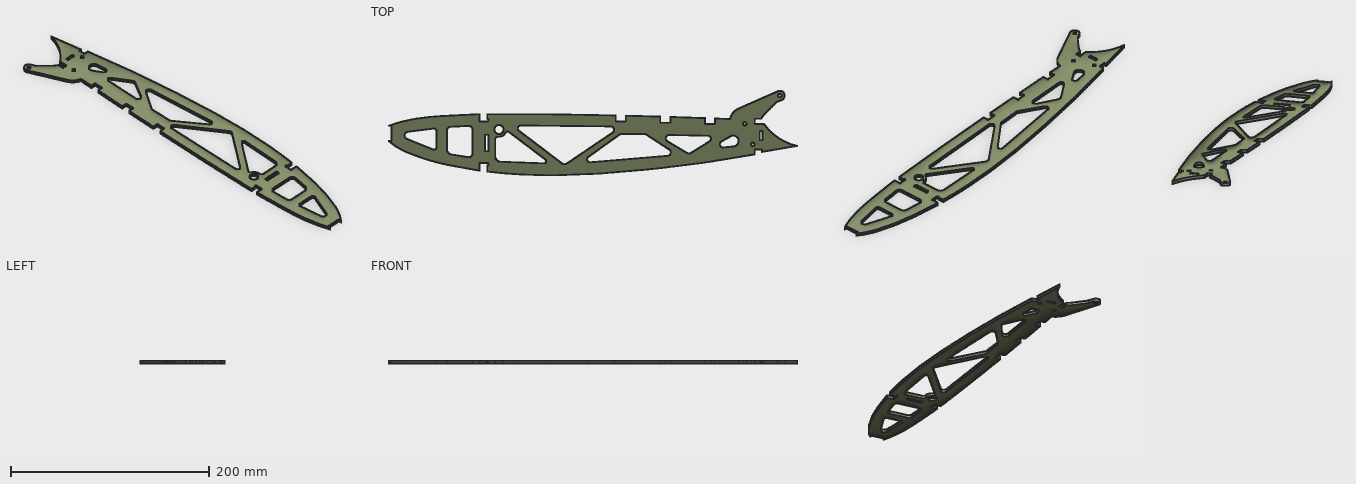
import cadquery as cq
import math

length = 412.0
thickness = 3.0

nose_top = 50.0
nose_bottom = 34.5
nose_depth = 3.0

back_height = 61.8
nose_back = [(15.5, 54.8), (51.5, 59.7)]
body_back = [(179.0, 61.5), (272.2, 59.5)]
body_belly = [(321.2, 13.0), (276.0, 7.5), (212.5, 1.5), (158.5, 0.0)]
nose_belly = [(47.8, 13.0), (28.0, 19.5), (7.0, 29.2)]

front_notch_left = 92.0
front_notch_right = front_notch_left + 7.5
front_notch_floor = 54.5
front_notch_ceiling = 12.5
belly_left_of_notch = 4.5
belly_right_of_notch = 3.7
relief_radius = 1.2

back_notch_count = 3
back_notch_start = 229.0
back_notch_pitch = 45.0
back_notch_width = 10.0
back_notch_floor = 54.5
back_notch_floor_drop = 1.2
notch_cut_height = 12.5

fin_root = (344.0, 57.0)
fin_root_bend = (347.5, 64.0)
fin_shoulder = (353.0, 67.5)
fin_eye = (394.0, 80.5)
fin_eye_radius = 5.0
fin_eye_start_angle = 112
fin_eye_end_angle = -60
fin_neck = (391.0, 73.7)
fin_heel = (378.0, 61.0)

tail_slot_left = 369.0
tail_slot_right = 375.0
tail_slot_top = 57.0
tail_slot_bottom = 52.0
lower_fin_top = (378.0, tail_slot_bottom)
lower_fin_bend = (391.3, 38.7)
tail_tip = (length, 29.5)
tail_notch_left = tail_slot_left
tail_notch_right = 376.0
tail_notch_top = 26.0
lower_fin_heel_height = 23.5
belly_end_height = 21.0

pivot = (111.0, 46.0)
pivot_radius = 4.5
pivot_wall_radius = 7.5
pivot_wall_end_angle = math.radians(-4)
pivot_pocket_lower_left = (107.5, 14.0)
pivot_pocket_lower_right = (163.0, 12.0)
wall_start_radius = 2.5
pocket_tip_radius = 2.0
pocket_heel_radius = 5.5

truss_pockets = [
    [(5.5, 42.0, 3.7), (48.0, 47.5, 2.5), (48.0, 24.7, 2.5)],
    [(59.0, 48.5, 3.7), (84.5, 50.0, 3.7), (84.5, 17.7, 3.7), (59.0, 22.0, 5.0)],
    [(124.5, 50.2, 3.0), (234.5, 49.0, 3.5), (177.0, 10.5, 4.5)],
    [(192.7, 12.5, 3.0), (233.5, 41.5, 3.5), (258.5, 41.5, 3.5), (290.8, 20.5, 3.5)],
    [(270.0, 40.8, 3.5), (331.5, 39.5, 3.0), (302.7, 21.5, 4.0)],
]

tapered_slot_small_centre = (337.0, 31.5)
tapered_slot_small_radius = 3.1
tapered_slot_large_centre = (347.0, 34.5)
tapered_slot_large_radius = 5.5

tab_slots = [(97.0, 24.5, 100.5, 40.8), (374.0, 35.5, 376.5, 44.5)]
small_holes = [(358.7, 52.0), (367.0, 31.5), fin_eye]
small_hole_radius = 1.5


def on_circle(centre, radius, angle):
    """Point on a circle at an angle in radians."""
    return (centre[0] + radius * math.cos(angle), centre[1] + radius * math.sin(angle))


def plate_blank():
    """Solid plate with the outer outline, drawn clockwise from the upper nose lip."""
    eye_start = on_circle(fin_eye, fin_eye_radius, math.radians(fin_eye_start_angle))
    eye_side = on_circle(fin_eye, fin_eye_radius, 0)
    eye_end = on_circle(fin_eye, fin_eye_radius, math.radians(fin_eye_end_angle))
    outline = cq.Workplane("XY").moveTo(0, nose_top)
    outline = (
        outline.spline([*nose_back, (front_notch_left, back_height)], includeCurrent=True)
        .lineTo(front_notch_left, front_notch_floor)
        .lineTo(front_notch_right, front_notch_floor)
        .lineTo(front_notch_right, back_height)
        .spline([*body_back, fin_root], includeCurrent=True)
    )
    outline = (
        outline.threePointArc(fin_root_bend, fin_shoulder)
        .lineTo(*eye_start)
        .threePointArc(eye_side, eye_end)
        .lineTo(*fin_neck)
        .lineTo(*fin_heel)
        .lineTo(tail_slot_right, tail_slot_top)
        .lineTo(tail_slot_left, tail_slot_top)
    )
    outline = (
        outline.lineTo(tail_slot_left, tail_slot_bottom)
        .lineTo(*lower_fin_top)
        .threePointArc(lower_fin_bend, tail_tip)
        .lineTo(tail_notch_right, lower_fin_heel_height)
        .lineTo(tail_notch_right, tail_notch_top)
        .lineTo(tail_notch_left, tail_notch_top)
        .lineTo(tail_notch_left, belly_end_height)
    )
    outline = (
        outline.spline([*body_belly, (front_notch_right, belly_right_of_notch)], includeCurrent=True)
        .lineTo(front_notch_right, front_notch_ceiling)
        .lineTo(front_notch_left, front_notch_ceiling)
        .lineTo(front_notch_left, belly_left_of_notch)
        .spline([*nose_belly, (0, nose_bottom)], includeCurrent=True)
    )
    outline = outline.lineTo(nose_depth, nose_bottom).lineTo(nose_depth, nose_top).close()
    return outline.extrude(thickness)


def round_corners(pocket, corners):
    """Fillet the vertical edge at each (x, y, radius) corner."""
    for x, y, radius in corners:
        corner_edge = cq.selectors.NearestToPointSelector((x, y, thickness / 2))
        pocket = pocket.edges("|Z").edges(corner_edge).fillet(radius)
    return pocket


def rounded_pocket(corners):
    """Straight-sided through pocket; every corner is (x, y, radius)."""
    points = [(x, y) for x, y, _ in corners]
    pocket = cq.Workplane("XY").polyline(points).close().extrude(thickness)
    return round_corners(pocket, corners)


def rectangular_cut(left, bottom, right, top):
    points = [(left, bottom), (right, bottom), (right, top), (left, top)]
    return cq.Workplane("XY").polyline(points).close().extrude(thickness)


def round_hole(centre, radius):
    return cq.Workplane("XY").center(*centre).circle(radius).extrude(thickness)


def pivot_pocket():
    """Triangular pocket whose upper corner is replaced by an arc around the pivot hole."""
    left = pivot_pocket_lower_left[0]
    start_angle = -math.acos((left - pivot[0]) / pivot_wall_radius)
    middle_angle = (start_angle + pivot_wall_end_angle) / 2
    start = on_circle(pivot, pivot_wall_radius, start_angle)
    middle = on_circle(pivot, pivot_wall_radius, middle_angle)
    end = on_circle(pivot, pivot_wall_radius, pivot_wall_end_angle)
    pocket = (
        cq.Workplane("XY")
        .moveTo(*start)
        .threePointArc(middle, end)
        .lineTo(*pivot_pocket_lower_right)
        .lineTo(*pivot_pocket_lower_left)
        .close()
        .extrude(thickness)
    )
    corners = [
        (*start, wall_start_radius),
        (*end, pocket_tip_radius),
        (*pivot_pocket_lower_right, pocket_tip_radius),
        (*pivot_pocket_lower_left, pocket_heel_radius),
    ]
    return round_corners(pocket, corners)


def tapered_slot(small_centre, small_radius, large_centre, large_radius):
    """Two circles of different size joined by their outer tangents."""
    dx = large_centre[0] - small_centre[0]
    dy = large_centre[1] - small_centre[1]
    heading = math.atan2(dy, dx)
    tangent_turn = math.acos((small_radius - large_radius) / math.hypot(dx, dy))
    upper = heading + tangent_turn
    lower = heading - tangent_turn
    small_end = on_circle(small_centre, small_radius, heading + math.pi)
    large_end = on_circle(large_centre, large_radius, heading)
    return (
        cq.Workplane("XY")
        .moveTo(*on_circle(small_centre, small_radius, upper))
        .lineTo(*on_circle(large_centre, large_radius, upper))
        .threePointArc(large_end, on_circle(large_centre, large_radius, lower))
        .lineTo(*on_circle(small_centre, small_radius, lower))
        .threePointArc(small_end, on_circle(small_centre, small_radius, upper))
        .close()
        .extrude(thickness)
    )


result = plate_blank()

for relief_y in (front_notch_floor + relief_radius, front_notch_ceiling - relief_radius):
    result = result.cut(round_hole((front_notch_right, relief_y), relief_radius))

for index in range(back_notch_count):
    notch_left = back_notch_start + index * back_notch_pitch
    notch_right = notch_left + back_notch_width
    floor = back_notch_floor - index * back_notch_floor_drop
    result = result.cut(rectangular_cut(notch_left, floor, notch_right, floor + notch_cut_height))

for pocket_corners in truss_pockets:
    result = result.cut(rounded_pocket(pocket_corners))
result = result.cut(pivot_pocket())
result = result.cut(
    tapered_slot(
        tapered_slot_small_centre,
        tapered_slot_small_radius,
        tapered_slot_large_centre,
        tapered_slot_large_radius,
    )
)

for slot in tab_slots:
    result = result.cut(rectangular_cut(*slot))
result = result.cut(round_hole(pivot, pivot_radius))
for hole_centre in small_holes:
    result = result.cut(round_hole(hole_centre, small_hole_radius))